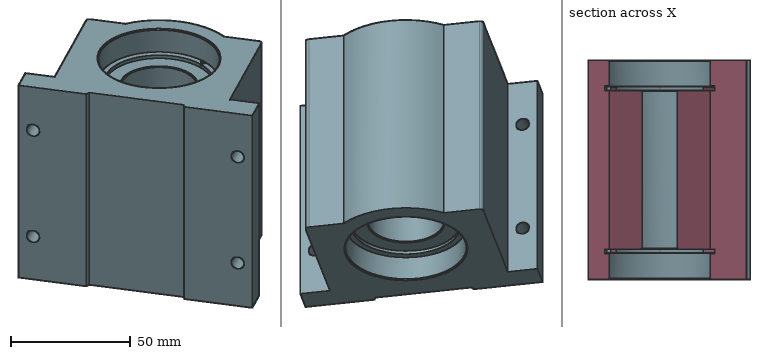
import cadquery as cq
import math


length = 92.08
base_width = 101.6
base_thickness = 11.1125
block_width = 76.2
shaft_height = 38.1
block_height = 63.5
crown_radius = 33.22
corner_radius = 1.5875

relief_depth = 1.5875
relief_mouth_width = 42.6
relief_floor_width = 41.0

hole_diameter = 5.5563
hole_spacing_x = 88.9
hole_spacing_z = 50.8

bearing_diameter = 50.8
bearing_length = 66.675
shaft_diameter = 31.75
shaft_chamfer = 0.4
bore_chamfer = 0.5

ring_inner_diameter = 46.0
ring_outer_diameter = 54.0
ring_thickness = 1.5
groove_width = 1.75
slit_width = 0.1
slit_angle = 55.8
notch_span_angle = 4.5
notch_floor_radius = 24.75

mount_y = -shaft_height
ring_start = bearing_length / 2


def disc(diameter, height, z):
    """Upright cylinder on the shaft axis, starting at height z."""
    return cq.Workplane("XY").workplane(offset=z).circle(diameter / 2).extrude(height)


def slab(width, bottom_y, top_y):
    """Full-length block, symmetric in X, between two Y levels."""
    return cq.Workplane("XY").box(width, top_y - bottom_y, length).translate((0, (bottom_y + top_y) / 2, 0))


def polar(radius, angle):
    """X and Y of a point at an angle in degrees around the shaft axis."""
    return (radius * math.cos(math.radians(angle)), radius * math.sin(math.radians(angle)))


def make_housing():
    """Flanged block with a crown over the bore, a bottom relief, four bolt holes and two ring grooves."""
    block_top = mount_y + block_height
    block = slab(block_width, mount_y, block_top).edges("|Z and >Y").fillet(corner_radius)
    base = slab(base_width, mount_y, mount_y + base_thickness)
    crown = disc(2 * crown_radius, length, -length / 2)
    body = base.union(block).union(crown)

    relief = (
        cq.Workplane("XY")
        .workplane(offset=-length / 2)
        .moveTo(-relief_mouth_width / 2, mount_y)
        .lineTo(relief_mouth_width / 2, mount_y)
        .lineTo(relief_floor_width / 2, mount_y + relief_depth)
        .lineTo(-relief_floor_width / 2, mount_y + relief_depth)
        .close()
        .extrude(length)
    )
    body = body.cut(relief)

    holes = (
        cq.Workplane("XZ", origin=(0, mount_y, 0))
        .rarray(hole_spacing_x, hole_spacing_z, 2, 2)
        .circle(hole_diameter / 2)
        .extrude(-base_thickness)
    )
    body = body.cut(holes)

    bore = disc(bearing_diameter, length, -length / 2)
    mouth = (
        cq.Workplane("XY")
        .workplane(offset=length / 2)
        .circle(bearing_diameter / 2 + bore_chamfer)
        .workplane(offset=-bore_chamfer)
        .circle(bearing_diameter / 2)
        .loft()
    )
    body = body.cut(bore).cut(mouth).cut(mouth.mirror("XY"))
    for groove_start in (ring_start, -ring_start - groove_width):
        body = body.cut(disc(ring_outer_diameter, groove_width, groove_start))
    return body


def make_bearing():
    """Plain sleeve with both ends of the shaft bore chamfered."""
    sleeve = disc(bearing_diameter, bearing_length, -bearing_length / 2)
    sleeve = sleeve.cut(disc(shaft_diameter, bearing_length, -bearing_length / 2))
    return sleeve.edges("%CIRCLE").edges(cq.selectors.RadiusNthSelector(0)).chamfer(shaft_chamfer)


def make_ring():
    """Ring above the bearing, slit through on one side with a release notch in the rim beside the slit."""
    ring = disc(ring_outer_diameter, ring_thickness, ring_start)
    ring = ring.cut(disc(ring_inner_diameter, ring_thickness, ring_start))
    slit = (
        cq.Workplane("XY")
        .box(ring_outer_diameter, slit_width, ring_thickness, centered=(False, True, False))
        .rotate((0, 0, 0), (0, 0, 1), slit_angle)
        .translate((0, 0, ring_start))
    )

    end_angle = slit_angle + notch_span_angle
    notch = (
        cq.Workplane("XY")
        .workplane(offset=ring_start)
        .moveTo(*polar(notch_floor_radius, slit_angle))
        .lineTo(*polar(ring_outer_diameter, slit_angle))
        .lineTo(*polar(ring_outer_diameter, end_angle))
        .lineTo(*polar(notch_floor_radius, end_angle))
        .close()
        .extrude(ring_thickness)
    )
    return ring.cut(slit).cut(notch)


housing = make_housing()
bearing = make_bearing()
top_ring = make_ring()
bottom_ring = top_ring.mirror("XY")

result = cq.Compound.makeCompound([housing.val(), bearing.val(), top_ring.val(), bottom_ring.val()])